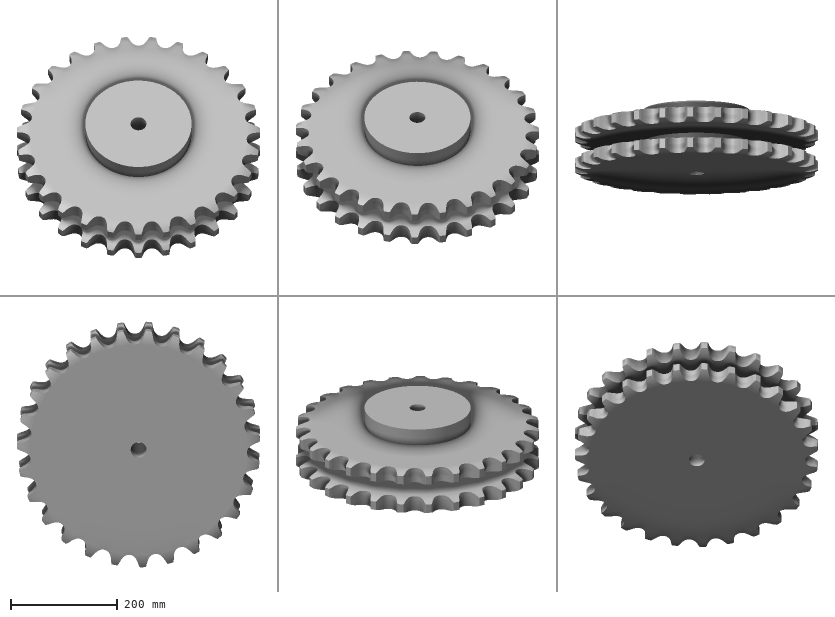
import cadquery as cq
import math

tooth_count = 27
chain_pitch = 50.8
roller_diameter = 29.21
strand_spacing = 58.55
tip_diameter = 458.1
disc_thickness = 29.0
hub_diameter = 200.0
total_height = 120.0
bore_diameter = 30.0
first_tooth_angle = -math.pi / 2

side_radius = chain_pitch
side_start_radius = 205.0

seat_clearance = 0.038
seat_radius = 0.5025 * roller_diameter + seat_clearance
working_offset = 0.8 * roller_diameter
working_radius = seat_radius + working_offset
seat_turn = math.radians(90 - (35 + 60 / tooth_count))
working_turn = math.radians(18 - 56 / tooth_count)
topping_offset = 1.4 * roller_diameter
topping_turn = math.radians(17 - 64 / tooth_count)
straight_length = topping_offset * math.sin(topping_turn) - working_offset * math.sin(working_turn)
topping_radius = (
    working_offset * math.cos(working_turn) + topping_offset * math.cos(topping_turn) - working_radius
)

half_pitch_angle = math.pi / tooth_count
tip_radius = tip_diameter / 2
pitch_radius = chain_pitch / (2 * math.sin(half_pitch_angle))
root_radius = pitch_radius - seat_radius


def polar(radius, angle):
    return radius * math.cos(angle), radius * math.sin(angle)


def on_arc(centre, radius, turn):
    """Point on a concave arc, with the turn measured from the inward radial direction."""
    return centre[0] + radius * math.sin(turn), centre[1] - radius * math.cos(turn)


def half_gap_points():
    """One side of a tooth gap, from seat to tip, as (radius, angle from the gap centre) pairs."""
    roller_centre = (0, pitch_radius)
    working_end_turn = seat_turn + working_turn
    seat_middle = on_arc(roller_centre, seat_radius, seat_turn / 2)
    seat_end = on_arc(roller_centre, seat_radius, seat_turn)

    working_centre = on_arc(roller_centre, -working_offset, seat_turn)
    working_middle = on_arc(working_centre, working_radius, seat_turn + working_turn / 2)
    working_end = on_arc(working_centre, working_radius, working_end_turn)

    straight_end = (
        working_end[0] + straight_length * math.cos(working_end_turn),
        working_end[1] + straight_length * math.sin(working_end_turn),
    )

    topping_centre = on_arc(straight_end, topping_radius, working_end_turn)
    centre_distance = math.hypot(*topping_centre)
    tip_offset = math.acos(
        (tip_radius**2 + centre_distance**2 - topping_radius**2) / (2 * tip_radius * centre_distance)
    )
    tip_angle = math.atan2(*topping_centre) - tip_offset
    tip_corner = (tip_radius * math.sin(tip_angle), tip_radius * math.cos(tip_angle))
    tip_turn = math.atan2(topping_centre[0] - tip_corner[0], tip_corner[1] - topping_centre[1])
    topping_middle = on_arc(topping_centre, -topping_radius, (working_end_turn + tip_turn) / 2)

    points = (
        seat_middle,
        seat_end,
        working_middle,
        working_end,
        straight_end,
        topping_middle,
        tip_corner,
    )
    return [(math.hypot(x, y), math.atan2(x, y)) for x, y in points]


def tooth_prism():
    """Full-height prism with the complete tooth outline."""
    half_gap = half_gap_points()
    outline = cq.Workplane("XY").moveTo(*polar(root_radius, first_tooth_angle - half_pitch_angle))
    for tooth in range(tooth_count):
        tooth_angle = first_tooth_angle + 2 * half_pitch_angle * tooth
        gap_before = tooth_angle - half_pitch_angle
        gap_after = tooth_angle + half_pitch_angle
        rising = [polar(radius, gap_before + angle) for radius, angle in half_gap]
        falling = [polar(radius, gap_after - angle) for radius, angle in reversed(half_gap)]
        rise_seat_middle, rise_seat_end, rise_working_middle, rise_working_end = rising[:4]
        rise_straight_end, rise_topping_middle, rise_tip = rising[4:]
        fall_tip, fall_topping_middle, fall_straight_end = falling[:3]
        fall_working_end, fall_working_middle, fall_seat_end, fall_seat_middle = falling[3:]
        outline = (
            outline.threePointArc(rise_seat_middle, rise_seat_end)
            .threePointArc(rise_working_middle, rise_working_end)
            .lineTo(*rise_straight_end)
            .threePointArc(rise_topping_middle, rise_tip)
            .threePointArc(polar(tip_radius, tooth_angle), fall_tip)
            .threePointArc(fall_topping_middle, fall_straight_end)
            .lineTo(*fall_working_end)
            .threePointArc(fall_working_middle, fall_seat_end)
            .threePointArc(fall_seat_middle, polar(root_radius, gap_after))
        )
    return outline.close().extrude(total_height, clean=False)


def side_drop(radial_length):
    """Axial fall of the rounded tooth side at a distance beyond its start radius."""
    return side_radius - math.sqrt(side_radius**2 - radial_length**2)


def add_rim(profile, bottom):
    """Continue the half profile around one disc's rim, from its lower to its upper face."""
    top = bottom + disc_thickness
    side_length = tip_radius - side_start_radius
    middle_radius = side_start_radius + side_length / 2
    middle_drop = side_drop(side_length / 2)
    tip_drop = side_drop(side_length)
    return (
        profile.lineTo(side_start_radius, bottom)
        .threePointArc((middle_radius, bottom + middle_drop), (tip_radius, bottom + tip_drop))
        .lineTo(tip_radius, top - tip_drop)
        .threePointArc((middle_radius, top - middle_drop), (side_start_radius, top))
    )


def turned_blank():
    """Hub, bore and both untoothed discs turned from one half profile."""
    hub_radius = hub_diameter / 2
    bore_radius = bore_diameter / 2
    profile = add_rim(cq.Workplane("XZ").moveTo(bore_radius, 0), 0)
    profile = profile.lineTo(hub_radius, disc_thickness).lineTo(hub_radius, strand_spacing)
    profile = add_rim(profile, strand_spacing)
    profile = profile.lineTo(hub_radius, strand_spacing + disc_thickness).lineTo(hub_radius, total_height)
    return profile.lineTo(bore_radius, total_height).close().revolve(360, (0, 0, 0), (0, 1, 0))


result = turned_blank().intersect(tooth_prism(), clean=False)